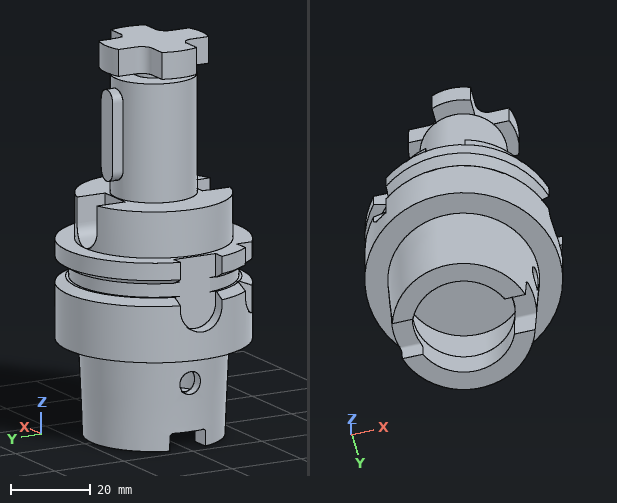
import cadquery as cq

TOTAL_HEIGHT = 103.0
FLANGE_BOTTOM = 25.0
FLANGE_TOP = 51.0
COLLAR_TOP = 63.0
SPINDLE_TOP = 94.0
HEAD_THICKNESS = 7.0
HEAD_BOTTOM = TOTAL_HEIGHT - HEAD_THICKNESS

SHANK_END_RADIUS = 18.0
SHANK_TOP_RADIUS = 19.2
FLANGE_DIAMETER = 50.0
FLANGE_RADIUS = FLANGE_DIAMETER / 2
COLLAR_RADIUS = 20.0
SPINDLE_RADIUS = 11.0
NECK_RADIUS = 5.0

GROOVE_MIDDLE = 43.1
GROOVE_FLOOR_DIAMETER = 43.0
GROOVE_FLOOR_RADIUS = GROOVE_FLOOR_DIAMETER / 2
GROOVE_LEDGE_RADIUS = 22.2
GROOVE_FLOOR_HALF = 1.9
GROOVE_MOUTH_HALF = 3.4

NOTCH_BOTTOM = 32.2
NOTCH_FLOOR = 21.0
NARROW_NOTCH_WIDTH = 12.0
WIDE_NOTCH_WIDTH = 14.0
CORNER_NOTCH_FLOOR = 15.3
CORNER_NOTCH_SIDE = 15.5

COLLAR_SLOT_WIDTH = 10.2
COLLAR_SLOT_FLOOR = 11.2

BORE_MOUTH_RADIUS = 13.0
BORE_CHAMBER_RADIUS = 15.9
BORE_MOUTH_DEPTH = 8.2
SHANK_SLOT_WIDTH = 10.3
SHALLOW_SHANK_SLOT = 4.6
DEEP_SHANK_SLOT = 7.2
SHANK_SLOT_FILLET = 0.9
CROSS_HOLE_DIAMETER = 6.0
CROSS_HOLE_HEIGHT = 17.5

KEY_WIDTH = 6.0
KEY_BOTTOM = 67.6
KEY_LENGTH = 23.9
KEY_OUTER_FACE = 13.6

HEAD_RADIUS = 14.0
HEAD_ARM_WIDTH = 10.1
HEAD_INNER_FILLET = 3.0


def turned_body():
    """Hollow shank, grooved flange, collar, spindle and screw neck as one revolved outline."""
    outline = [
        (0, FLANGE_BOTTOM),
        (BORE_CHAMBER_RADIUS, FLANGE_BOTTOM),
        (BORE_CHAMBER_RADIUS, BORE_MOUTH_DEPTH),
        (BORE_MOUTH_RADIUS, BORE_MOUTH_DEPTH),
        (BORE_MOUTH_RADIUS, 0),
        (SHANK_END_RADIUS, 0),
        (SHANK_TOP_RADIUS, FLANGE_BOTTOM),
        (FLANGE_RADIUS, FLANGE_BOTTOM),
        (FLANGE_RADIUS, GROOVE_MIDDLE - GROOVE_MOUTH_HALF),
        (GROOVE_LEDGE_RADIUS, GROOVE_MIDDLE - GROOVE_FLOOR_HALF),
        (GROOVE_FLOOR_RADIUS, GROOVE_MIDDLE - GROOVE_FLOOR_HALF),
        (GROOVE_FLOOR_RADIUS, GROOVE_MIDDLE + GROOVE_FLOOR_HALF),
        (GROOVE_LEDGE_RADIUS, GROOVE_MIDDLE + GROOVE_FLOOR_HALF),
        (FLANGE_RADIUS, GROOVE_MIDDLE + GROOVE_MOUTH_HALF),
        (FLANGE_RADIUS, FLANGE_TOP),
        (COLLAR_RADIUS, FLANGE_TOP),
        (COLLAR_RADIUS, COLLAR_TOP),
        (SPINDLE_RADIUS, COLLAR_TOP),
        (SPINDLE_RADIUS, SPINDLE_TOP),
        (NECK_RADIUS, SPINDLE_TOP),
        (NECK_RADIUS, HEAD_BOTTOM),
        (0, HEAD_BOTTOM),
    ]
    return cq.Workplane("XZ").polyline(outline).close().revolve(360, (0, 0), (0, 1))


def round_bottom_slot(width, bottom, top, floor, angle, side_shift=0):
    """Cutter open outwards and upwards, starting at distance floor from the axis.

    It points along +X before being turned about Z by angle.
    """
    radius = width / 2
    center = bottom + radius
    return (
        cq.Workplane("YZ", origin=(floor, side_shift, 0))
        .moveTo(-radius, top)
        .lineTo(-radius, center)
        .threePointArc((0, bottom), (radius, center))
        .lineTo(radius, top)
        .close()
        .extrude(FLANGE_RADIUS)
        .rotate((0, 0, 0), (0, 0, 1), angle)
    )


def flange_notches():
    """Wide notch at +X, narrow notch at -X and a corner notch between -X and -Y."""
    wide = round_bottom_slot(WIDE_NOTCH_WIDTH, NOTCH_BOTTOM, FLANGE_TOP, NOTCH_FLOOR, 0)
    narrow = round_bottom_slot(NARROW_NOTCH_WIDTH, NOTCH_BOTTOM, FLANGE_TOP, NOTCH_FLOOR, 180)
    corner = round_bottom_slot(
        NARROW_NOTCH_WIDTH,
        NOTCH_BOTTOM,
        FLANGE_TOP,
        CORNER_NOTCH_FLOOR,
        180,
        CORNER_NOTCH_SIDE + NARROW_NOTCH_WIDTH / 2,
    )
    return [wide, narrow, corner]


def collar_slots():
    """Drive slots at +Y and -Y whose round bottoms touch the flange top."""
    return [
        round_bottom_slot(COLLAR_SLOT_WIDTH, FLANGE_TOP, COLLAR_TOP, COLLAR_SLOT_FLOOR, angle)
        for angle in (90, -90)
    ]


def shank_slot(height, side):
    """Slot across one half of the shank end; side is +1 for +X and -1 for -X."""
    return (
        cq.Workplane("XY")
        .box(FLANGE_RADIUS, SHANK_SLOT_WIDTH, height, centered=(False, True, False))
        .faces(">Z")
        .edges("|X")
        .fillet(SHANK_SLOT_FILLET)
        .rotate((0, 0, 0), (0, 0, 1), 0 if side > 0 else 180)
    )


def cross_hole():
    """Round hole through the shank along X."""
    return (
        cq.Workplane("YZ", origin=(0, 0, CROSS_HOLE_HEIGHT))
        .circle(CROSS_HOLE_DIAMETER / 2)
        .extrude(FLANGE_RADIUS, both=True)
    )


def spindle_key():
    """Round-ended key standing on the +Y side of the spindle."""
    return (
        cq.Workplane("XZ", origin=(0, 0, KEY_BOTTOM + KEY_LENGTH / 2))
        .slot2D(KEY_LENGTH, KEY_WIDTH, 90)
        .extrude(-KEY_OUTER_FACE)
    )


def screw_head():
    """Cross with round arm ends and filleted inner corners."""
    arm_length = 2 * HEAD_RADIUS
    base = cq.Workplane("XY", origin=(0, 0, HEAD_BOTTOM))
    cross = base.rect(arm_length, HEAD_ARM_WIDTH).extrude(HEAD_THICKNESS)
    cross = cross.union(base.rect(HEAD_ARM_WIDTH, arm_length).extrude(HEAD_THICKNESS))
    inner_reach = HEAD_ARM_WIDTH + HEAD_INNER_FILLET
    inner_corners = cq.selectors.BoxSelector(
        (-inner_reach / 2, -inner_reach / 2, HEAD_BOTTOM),
        (inner_reach / 2, inner_reach / 2, TOTAL_HEIGHT),
    )
    cross = cross.edges("|Z").edges(inner_corners).fillet(HEAD_INNER_FILLET)
    return cross.intersect(base.circle(HEAD_RADIUS).extrude(HEAD_THICKNESS))


result = turned_body()
for cutter in flange_notches() + collar_slots():
    result = result.cut(cutter)
result = result.cut(shank_slot(SHALLOW_SHANK_SLOT, -1))
result = result.cut(shank_slot(DEEP_SHANK_SLOT, 1))
result = result.cut(cross_hole())
result = result.union(spindle_key())
result = result.union(screw_head())